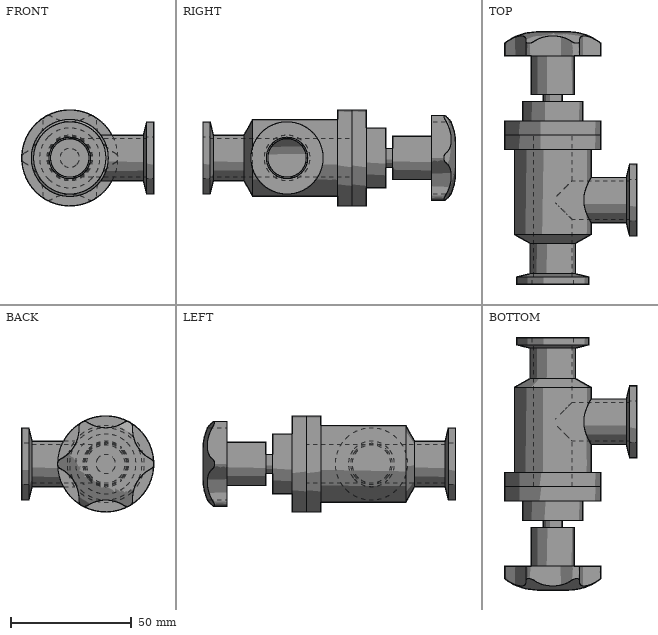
import cadquery as cq


port_flange_radius = 30.0 / 2
port_rim_thickness = 3.0
port_taper_height = 1.4
tube_radius = 19.0 / 2
bore_radius = 16.0 / 2
recess_radius = 17.2 / 2
recess_depth = 3.0
port_reach = 35.0

housing_radius = 32.0 / 2
shoulder_start = 17.0
shoulder_height = 3.7
housing_top = 62.0

main_flange_radius = 40.0 / 2
main_flange_thickness = 6.0

collar_radius = 25.0 / 2
collar_top = 76.0
stem_radius = 8.0 / 2
stem_top = 78.9

overall_length = 105.0
hub_radius = 18.1 / 2
grip_bottom = 94.9
grip_radius = main_flange_radius
dome_height = 4.8
dome_flat_radius = 6.3
lobe_count = 6
lobe_pitch = 360 / lobe_count
scallop_radius = 14.0
scallop_offset = 29.0
lobe_edge_radius = 2.0


def revolved(points):
    """Solid of revolution about the Y axis from (radius, y) points."""
    return cq.Workplane("XY").polyline(points).close().revolve(360, (0, 0, 0), (0, 1, 0))


def rod(radius, start, end):
    """Cylinder on the Y axis between two heights."""
    return cq.Workplane("XZ", origin=(0, start, 0)).circle(radius).extrude(start - end)


def along_side_port(shape):
    """Move a shape built on the inlet axis onto the side port axis, with its face at +X."""
    turned = shape.rotate((0, 0, 0), (0, 0, 1), 90)
    return turned.translate((port_reach, port_reach, 0))


def port_outside(length):
    """Tapered flange and tube reaching from the port face."""
    taper_top = port_rim_thickness + port_taper_height
    return revolved([
        (0, 0),
        (port_flange_radius, 0),
        (port_flange_radius, port_rim_thickness),
        (tube_radius, taper_top),
        (tube_radius, length),
        (0, length),
    ])


def port_bore(length):
    """Bore with a wider centring recess at the port face."""
    return rod(bore_radius, 0, length).union(rod(recess_radius, 0, recess_depth))


def make_housing():
    shoulder_end = shoulder_start + shoulder_height
    barrel = revolved([
        (0, shoulder_start),
        (tube_radius, shoulder_start),
        (housing_radius, shoulder_end),
        (housing_radius, housing_top),
        (0, housing_top),
    ])
    flange = rod(main_flange_radius, housing_top - main_flange_thickness, housing_top)
    outside = barrel.union(flange).union(port_outside(shoulder_start))
    outside = outside.union(along_side_port(port_outside(port_reach)))
    return outside.cut(port_bore(housing_top)).cut(along_side_port(port_bore(port_reach)))


def make_bonnet():
    """Cover flange with its collar and the stem that carries the knob."""
    flange_top = housing_top + main_flange_thickness
    flange = rod(main_flange_radius, housing_top, flange_top)
    collar = rod(collar_radius, flange_top, collar_top)
    stem = rod(stem_radius, collar_top, stem_top)
    return flange.union(collar).union(stem)


def grip_prism():
    """Round grip with finger hollows around it, leaving rounded lobes, one of them along +X."""
    prism = rod(grip_radius, grip_bottom, overall_length)
    hollow = rod(scallop_radius, grip_bottom, overall_length).translate((scallop_offset, 0, 0))
    for gap in range(lobe_count):
        gap_angle = (gap + 0.5) * lobe_pitch
        prism = prism.cut(hollow.rotate((0, 0, 0), (0, 1, 0), gap_angle))
    return prism.edges("|Y").fillet(lobe_edge_radius)


def grip_dome():
    """Blank whose flat top curves down smoothly to the rim."""
    profile = cq.Workplane("XY").moveTo(0, grip_bottom).lineTo(0, overall_length)
    profile = profile.lineTo(dome_flat_radius, overall_length)
    profile = profile.tangentArcPoint((grip_radius, overall_length - dome_height), relative=False)
    profile = profile.lineTo(grip_radius, grip_bottom).close()
    return profile.revolve(360, (0, 0, 0), (0, 1, 0))


def make_knob():
    """Domed star grip on a round hub."""
    hub = rod(hub_radius, stem_top, grip_bottom)
    return grip_prism().intersect(grip_dome()).union(hub)


housing = make_housing()
bonnet = make_bonnet()
knob = make_knob()

result = cq.Compound.makeCompound([housing.val(), bonnet.val(), knob.val()])